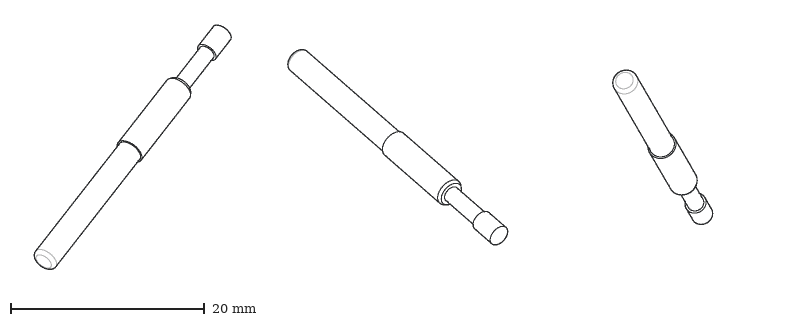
import cadquery as cq

TAIL_LENGTH = 17.0
BARREL_LENGTH = 10.0
STEM_LENGTH = 5.3
HEAD_LENGTH = 3.0

TAIL_DIAMETER = 2.65
BARREL_DIAMETER = 3.0
STEM_DIAMETER = 1.75
HEAD_DIAMETER = 2.25

TAIL_END_RADIUS = 0.4
BARREL_CHAMFER_LENGTH = 0.35
BARREL_CHAMFER_DEPTH = 0.2

BARREL_START = 0.0
TAIL_START = BARREL_START - TAIL_LENGTH
STEM_START = BARREL_START + BARREL_LENGTH
HEAD_START = STEM_START + STEM_LENGTH


def cylinder_along_y(diameter, start, length):
    """Solid cylinder on the Y axis, running from start towards +Y."""
    return cq.Workplane("XZ", origin=(0, start, 0)).circle(diameter / 2).extrude(-length)


def make_tail():
    tail = cylinder_along_y(TAIL_DIAMETER, TAIL_START, TAIL_LENGTH)
    return tail.faces("<Y").edges().fillet(TAIL_END_RADIUS)


def make_barrel():
    """Wide guide section, chamfered where the plunger stem comes out."""
    radius = BARREL_DIAMETER / 2
    chamfer_start = STEM_START - BARREL_CHAMFER_LENGTH
    half_section = (
        cq.Workplane("XY")
        .moveTo(0, BARREL_START)
        .lineTo(radius, BARREL_START)
        .lineTo(radius, chamfer_start)
        .lineTo(radius - BARREL_CHAMFER_DEPTH, STEM_START)
        .lineTo(0, STEM_START)
        .close()
    )
    return half_section.revolve(360, (0, 0, 0), (0, 1, 0))


def make_plunger():
    stem = cylinder_along_y(STEM_DIAMETER, STEM_START, STEM_LENGTH)
    head = cylinder_along_y(HEAD_DIAMETER, HEAD_START, HEAD_LENGTH)
    return stem.union(head)


result = make_tail().union(make_barrel()).union(make_plunger())